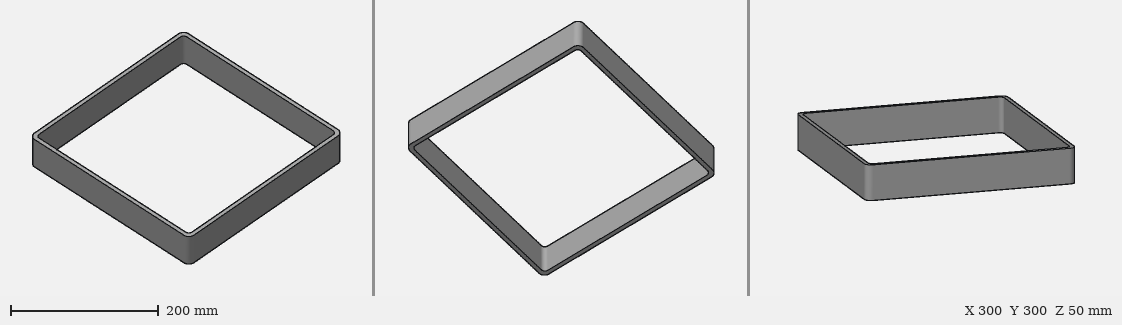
import cadquery as cq

side_length = 300.0
height = 50.0

wall_thickness = 6.35
outer_corner_radius = 9.45
inner_corner_radius = 6.25


def rounded_square_prism(side, corner_radius):
    """Upright square prism, centred on Z, with its vertical edges rounded."""
    prism = cq.Workplane("XY").rect(side, side).extrude(height)
    return prism.edges("|Z").fillet(corner_radius)


opening_side = side_length - 2 * wall_thickness
outer_body = rounded_square_prism(side_length, outer_corner_radius)
opening = rounded_square_prism(opening_side, inner_corner_radius)

result = outer_body.cut(opening)